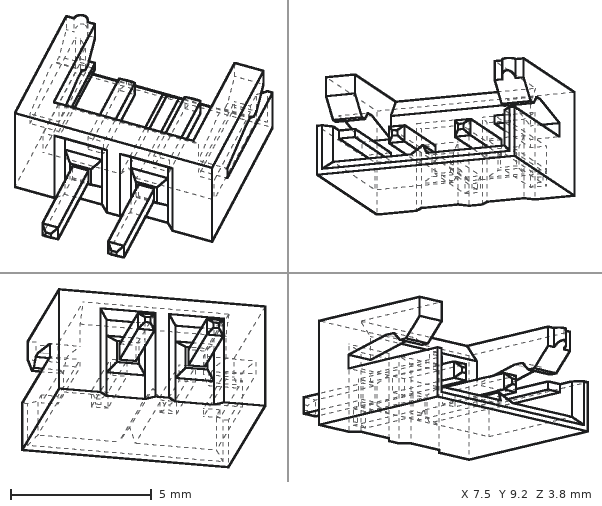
import cadquery as cq


WIDTH = 7.5
DEPTH = 6.0
HEIGHT = 3.8
WALL_TOP = 1.8
FLOOR_TOP = 0.5
BACK_WALL = 1.5

ARM_WIDTH = 1.1
ARM_END = 5.1
SLOT_END_TOP = 2.3
SLOT_CEILING = 2.7
CEILING_START = 3.4
CEILING_END = 3.8
LATCH_BOTTOM = 2.4
LATCH_FLAT = 0.3

KEY_RADIUS = 0.25

BOX_WALL = 0.5
LEDGE_THICKNESS = 0.3
LEAD_IN_DEPTH = 0.5
LEAD_IN_HEIGHT = 0.65
MOUTH_CHAMFER = 0.3

RIDGE_WIDTH = 0.6
RIDGE_HEIGHT = 0.42

PITCH = 2.5
PIN_Z = 1.6
PIN_SIZE = 0.6
PIN_TIP = 0.2
PIN_START = -3.2
PIN_END = 4.8

POCKET_WIDTH = 2.0
POCKET_TOP = 3.2
POCKET_DEPTH = 0.3
COLLAR_TIP = 0.8
COLLAR_BASE = COLLAR_TIP + 2 * POCKET_DEPTH

ARM_INSIDE = WIDTH / 2 - ARM_WIDTH
BOX_INSIDE = WIDTH / 2 - BOX_WALL
KEY_X = ARM_WIDTH / 2 - WIDTH / 2


def extrude_across(outline, width):
    """Prism with a (Y, Z) outline, centred on X = 0."""
    return cq.Workplane("YZ").polyline(outline).close().extrude(width / 2, both=True)


def make_block(x_min, x_max, y_min, y_max, z_min, z_max):
    """Box between the given limits."""
    block = cq.Workplane("XY").box(x_max - x_min, y_max - y_min, z_max - z_min, centered=False)
    return block.translate((x_min, y_min, z_min))


def make_taper(y_start, x_z_start, size_start, y_end, x_z_end, size_end):
    """Rectangular frustum from y_start to y_end, given each end's centre and (X, Z) size."""
    return (
        cq.Workplane("XZ")
        .workplane(offset=-y_start)
        .pushPoints([x_z_start])
        .rect(*size_start)
        .workplane(offset=y_start - y_end)
        .pushPoints([x_z_end])
        .rect(*size_end)
        .loft(ruled=True)
    )


def make_housing_blank():
    """Side profile of the box, slot and latched arm, across the full width."""
    latch_start = CEILING_END + SLOT_CEILING - LATCH_BOTTOM
    latch_end = latch_start + LATCH_FLAT
    arm_reach = ARM_END + KEY_RADIUS
    arm_tip_bottom = LATCH_BOTTOM + arm_reach - latch_end
    outline = [
        (0, 0),
        (DEPTH, 0),
        (DEPTH, WALL_TOP),
        (BACK_WALL, WALL_TOP),
        (BACK_WALL, SLOT_END_TOP),
        (CEILING_START, SLOT_CEILING),
        (CEILING_END, SLOT_CEILING),
        (latch_start, LATCH_BOTTOM),
        (latch_end, LATCH_BOTTOM),
        (arm_reach, arm_tip_bottom),
        (arm_reach, HEIGHT),
        (0, HEIGHT),
    ]
    return extrude_across(outline, WIDTH)


def make_arm_end_cut():
    """Material beyond the arm ends, apart from the half-round key."""
    beyond = make_block(-WIDTH / 2, WIDTH / 2, ARM_END, DEPTH, WALL_TOP, HEIGHT)
    key = cq.Workplane("XY").center(KEY_X, ARM_END).circle(KEY_RADIUS).extrude(HEIGHT)
    return beyond.cut(key)


def make_cavity():
    """Space between the arms plus the wider room inside the lower box."""
    outline = [
        (BACK_WALL, FLOOR_TOP),
        (DEPTH, FLOOR_TOP),
        (DEPTH, HEIGHT),
        (BACK_WALL - LEAD_IN_DEPTH, HEIGHT),
        (BACK_WALL, HEIGHT - LEAD_IN_HEIGHT),
    ]
    centre = extrude_across(outline, 2 * ARM_INSIDE)
    ledge_bottom = WALL_TOP - LEDGE_THICKNESS
    under_ledges = make_block(-BOX_INSIDE, BOX_INSIDE, BACK_WALL, DEPTH, FLOOR_TOP, ledge_bottom)
    mouth = make_block(-BOX_INSIDE, BOX_INSIDE, ARM_END, DEPTH, FLOOR_TOP, WALL_TOP)
    return centre.union(under_ledges).union(mouth)


def make_ridge():
    """Triangular ridge on the floor, rooted in the solder-side wall."""
    ridge = (
        cq.Workplane("XZ")
        .moveTo(-RIDGE_WIDTH / 2, FLOOR_TOP)
        .lineTo(RIDGE_WIDTH / 2, FLOOR_TOP)
        .lineTo(0, FLOOR_TOP + RIDGE_HEIGHT)
        .close()
        .extrude(BACK_WALL - DEPTH)
    )
    return ridge.translate((0, BACK_WALL, 0))


def make_mouth_flare():
    """45 degree flare of the floor, ridge and box walls at the open end."""
    length = MOUTH_CHAMFER + RIDGE_HEIGHT
    inner_bottom = FLOOR_TOP + RIDGE_HEIGHT
    outer_bottom = FLOOR_TOP - MOUTH_CHAMFER
    inner_half = BOX_INSIDE - RIDGE_HEIGHT
    outer_half = BOX_INSIDE + MOUTH_CHAMFER
    inner_height = WALL_TOP - inner_bottom
    outer_height = WALL_TOP - outer_bottom
    return make_taper(
        DEPTH - length,
        (0, inner_bottom + inner_height / 2),
        (2 * inner_half, inner_height),
        DEPTH,
        (0, outer_bottom + outer_height / 2),
        (2 * outer_half, outer_height),
    )


def make_pocket(x):
    """Tapered pocket, open at the bottom, around the pin at x."""
    inner_width = POCKET_WIDTH - 2 * POCKET_DEPTH
    inner_top = POCKET_TOP - POCKET_DEPTH
    return make_taper(
        0,
        (x, POCKET_TOP / 2),
        (POCKET_WIDTH, POCKET_TOP),
        POCKET_DEPTH,
        (x, inner_top / 2),
        (inner_width, inner_top),
    )


def make_collar(x):
    """Pyramid-shaped collar where the pin at x leaves the housing."""
    centre = (x, PIN_Z)
    tip = (COLLAR_TIP, COLLAR_TIP)
    base = (COLLAR_BASE, COLLAR_BASE)
    return make_taper(0, centre, tip, POCKET_DEPTH, centre, base)


def make_pin(x):
    """Square pin with both ends pointed."""
    half = PIN_SIZE / 2
    bar = make_block(x - half, x + half, PIN_START, PIN_END, PIN_Z - half, PIN_Z + half)
    return bar.faces("<Y or >Y").chamfer(PIN_TIP)


result = make_housing_blank().cut(make_arm_end_cut()).cut(make_cavity())
result = result.union(make_ridge()).cut(make_mouth_flare())
for pin_x in (-PITCH / 2, PITCH / 2):
    result = result.cut(make_pocket(pin_x))
    result = result.union(make_collar(pin_x)).union(make_pin(pin_x))